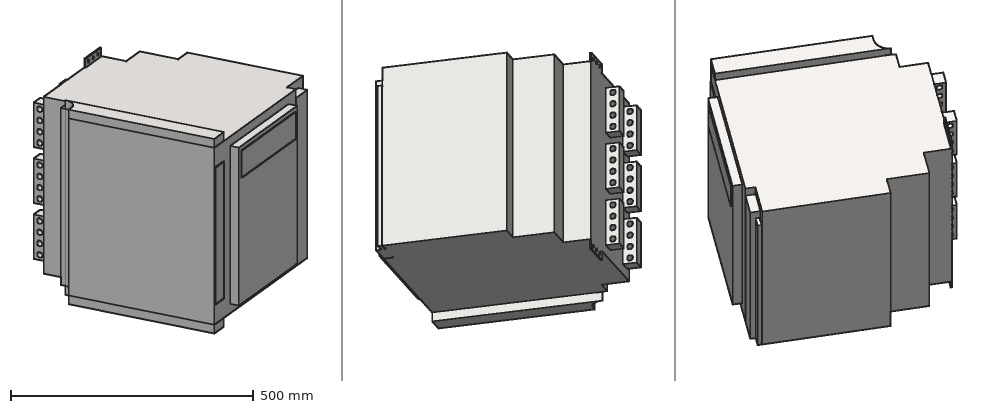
import cadquery as cq


HOUSING_LENGTH = 441.5
HOUSING_DEPTH = 432.0
HOUSING_HEIGHT = 395.5
HALF_HEIGHT = HOUSING_HEIGHT / 2
LEFT_FACE_FRONT = 80.0
LEFT_FACE_BACK = 331.5
SHOULDER_X = 60.0
SHOULDER_BACK = 391.5
REAR_STEP_X = 150.0
FRONT_STEP_Y = 42.5

COVE_RADIUS = 30.5
COVE_START_X = 70.5
COVE_END_X = COVE_START_X + COVE_RADIUS

STRIP_HEIGHT = 19.5

EAR_THICKNESS = 3.0
EAR_FRONT = 259.0
EAR_BACK = 329.0
EAR_HEIGHT = STRIP_HEIGHT
EAR_HOLE_DIAMETER = 6.5
EAR_HOLE_PITCH = 20.5
HOLES_PER_EAR = 3

BLOCK_LENGTH = 29.5
BLOCK_WIDTH = 29.5
BLOCK_HEIGHT = 99.5
BLOCK_PITCH = 125.0
BLOCK_CENTRES_Y = (106.5, 219.0)
BLOCKS_PER_COLUMN = 3
BLOCK_HOLE_DIAMETER = 12.5
BLOCK_HOLE_PITCH = 25.0
BLOCK_HOLE_X = -15.5
HOLES_PER_BLOCK = 4

PLATE_THICKNESS = 20.0
PLATE_FRONT = 70.0
PLATE_BACK = 327.0
PLATE_HEIGHT = 353.0
PAD_THICKNESS = 2.0
PLATE_PAD_INSET = 10.0
PLATE_PAD_HEIGHT = 60.5

FRONT_PAD_INSET = 2.0
FRONT_PAD_HEIGHT = 306.0

NOTCH_X = 420.5
NOTCH_FRONT = 360.5
LEDGE_GAP = 1.5
LEDGE_DROP = 19.5
UPPER_LEDGE_BACK = 411.0
LOWER_LEDGE_END = 430.5


def box_between(x_range, y_range, z_range):
    """Box given by its lower and upper bounds along each axis."""
    lows, highs = zip(x_range, y_range, z_range)
    sizes = [high - low for low, high in zip(lows, highs)]
    return cq.Workplane("XY").box(*sizes, centered=False).translate(lows)


def centred_offsets(count, pitch):
    """Evenly spaced positions centred on zero."""
    return [(i - (count - 1) / 2) * pitch for i in range(count)]


def end_front_with_cove(outline):
    """Close an outline that stands at the front right corner, along the front and up the cove."""
    return (
        outline.lineTo(COVE_END_X, 0)
        .lineTo(COVE_END_X, FRONT_STEP_Y - COVE_RADIUS)
        .radiusArc((COVE_START_X, FRONT_STEP_Y), -COVE_RADIUS)
        .close()
    )


def make_shell():
    outline = (
        cq.Workplane("XY", origin=(0, 0, -HALF_HEIGHT))
        .moveTo(COVE_START_X, FRONT_STEP_Y)
        .lineTo(SHOULDER_X, FRONT_STEP_Y)
        .lineTo(SHOULDER_X, LEFT_FACE_FRONT)
        .lineTo(0, LEFT_FACE_FRONT)
        .lineTo(0, LEFT_FACE_BACK)
        .lineTo(SHOULDER_X, LEFT_FACE_BACK)
        .lineTo(SHOULDER_X, SHOULDER_BACK)
        .lineTo(REAR_STEP_X, SHOULDER_BACK)
        .lineTo(REAR_STEP_X, HOUSING_DEPTH)
        .lineTo(HOUSING_LENGTH, HOUSING_DEPTH)
        .lineTo(HOUSING_LENGTH, 0)
    )
    return end_front_with_cove(outline).extrude(HOUSING_HEIGHT)


def cut_corner_notch(body):
    """Cut the notch, and leave out of the cut two ledges below the top, each beside a narrow gap."""
    upper_z = HALF_HEIGHT - LEDGE_DROP
    lower_z = upper_z - LEDGE_DROP
    notch = box_between(
        (NOTCH_X, HOUSING_LENGTH), (NOTCH_FRONT, HOUSING_DEPTH), (-HALF_HEIGHT, HALF_HEIGHT)
    )
    upper_ledge = box_between(
        (NOTCH_X, HOUSING_LENGTH),
        (NOTCH_FRONT + LEDGE_GAP, UPPER_LEDGE_BACK),
        (-HALF_HEIGHT, upper_z),
    )
    lower_ledge = box_between(
        (NOTCH_X + LEDGE_GAP, LOWER_LEDGE_END),
        (UPPER_LEDGE_BACK, HOUSING_DEPTH),
        (-HALF_HEIGHT, lower_z),
    )
    return body.cut(notch.cut(upper_ledge).cut(lower_ledge))


def make_ears():
    """Full-height plate, whose two ends stand out as ears with three holes each."""
    ear_end = HALF_HEIGHT + EAR_HEIGHT
    plate = box_between((0, EAR_THICKNESS), (EAR_FRONT, EAR_BACK), (-ear_end, ear_end))
    hole_z = HALF_HEIGHT + EAR_HEIGHT / 2
    middle_y = (EAR_FRONT + EAR_BACK) / 2
    hole_places = [
        (middle_y + offset, side * hole_z)
        for side in (-1, 1)
        for offset in centred_offsets(HOLES_PER_EAR, EAR_HOLE_PITCH)
    ]
    holes = cq.Workplane("YZ").pushPoints(hole_places).circle(EAR_HOLE_DIAMETER / 2).extrude(EAR_THICKNESS)
    return plate.cut(holes)


def make_terminal_block(centre_y, centre_z):
    front = centre_y - BLOCK_WIDTH / 2
    back = centre_y + BLOCK_WIDTH / 2
    half = BLOCK_HEIGHT / 2
    block = box_between((-BLOCK_LENGTH, 0), (front, back), (centre_z - half, centre_z + half))
    hole_places = [
        (BLOCK_HOLE_X, centre_z + offset) for offset in centred_offsets(HOLES_PER_BLOCK, BLOCK_HOLE_PITCH)
    ]
    holes = (
        cq.Workplane("XZ", origin=(0, back, 0))
        .pushPoints(hole_places)
        .circle(BLOCK_HOLE_DIAMETER / 2)
        .extrude(BLOCK_WIDTH)
    )
    return block.cut(holes)


def make_right_plate():
    plate_end = HOUSING_LENGTH + PLATE_THICKNESS
    half = PLATE_HEIGHT / 2
    plate = box_between((HOUSING_LENGTH, plate_end), (PLATE_FRONT, PLATE_BACK), (-half, half))
    pad_top = half - PLATE_PAD_INSET
    pad = box_between(
        (plate_end, plate_end + PAD_THICKNESS),
        (PLATE_FRONT + PLATE_PAD_INSET, PLATE_BACK - PLATE_PAD_INSET),
        (pad_top - PLATE_PAD_HEIGHT, pad_top),
    )
    return plate.union(pad)


def make_front_pad():
    return box_between(
        (HOUSING_LENGTH, HOUSING_LENGTH + PAD_THICKNESS),
        (FRONT_PAD_INSET, FRONT_STEP_Y - FRONT_PAD_INSET),
        (-FRONT_PAD_HEIGHT / 2, FRONT_PAD_HEIGHT / 2),
    )


def make_housing():
    housing = cut_corner_notch(make_shell()).union(make_ears())
    for centre_y in BLOCK_CENTRES_Y:
        for centre_z in centred_offsets(BLOCKS_PER_COLUMN, BLOCK_PITCH):
            housing = housing.union(make_terminal_block(centre_y, centre_z))
    return housing.union(make_right_plate()).union(make_front_pad())


def make_strip(bottom_z):
    outline = (
        cq.Workplane("XY", origin=(0, 0, bottom_z))
        .moveTo(COVE_START_X, FRONT_STEP_Y)
        .lineTo(HOUSING_LENGTH, FRONT_STEP_Y)
        .lineTo(HOUSING_LENGTH, 0)
    )
    return end_front_with_cove(outline).extrude(STRIP_HEIGHT)


housing = make_housing()
strips = [make_strip(bottom_z) for bottom_z in (-HALF_HEIGHT - STRIP_HEIGHT, HALF_HEIGHT)]

result = cq.Compound.makeCompound([housing.val(), *[strip.val() for strip in strips]])